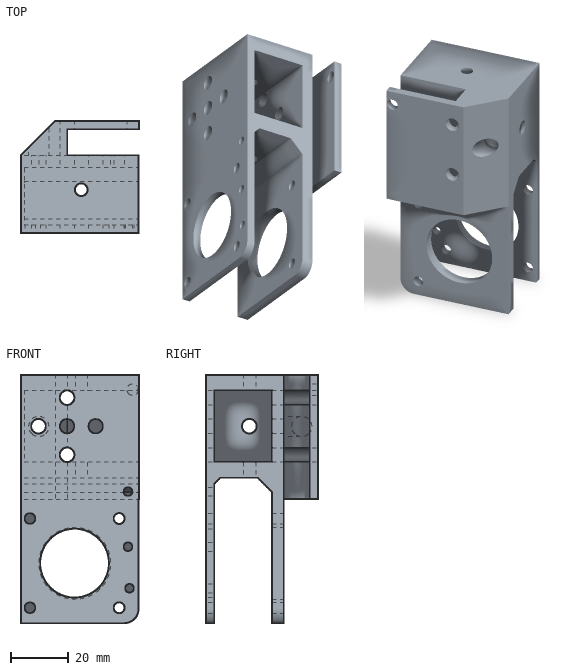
import cadquery as cq

height = 86.6
body_width = 41.05
body_depth = 27.2
front_wall = 2.95
rear_wall = 4.15
side_wall = 1.2
corner_radius = 5.0

slot_top = 50.65
front_slot_chamfer = 2.1
rear_slot_chamfer = 4.9

total_width = 41.2
total_depth = 39.1
bracket_bottom = 43.3
bracket_plate = 2.95
web_width = 16.2
bracket_chamfer = total_depth - body_depth
bracket_hole_diameter = 4.0
bracket_hole_x = total_width - 2.3
bracket_hole_z = height - 5.1

cross_x, cross_z = 16.1, 68.7
cross_pitch = 10.0
cross_diameter = 5.0
access_diameter = 7.0
pocket_height = 2 * cross_pitch + cross_diameter
axis_y = 15.15
top_hole_x = 21.0
top_hole_diameter = 4.3

bore_x, bore_z = 18.7, 20.95
front_bore_diameter = 23.9
rear_bore_diameter = 25.0
mount_spacing = 31.1
mount_offset = mount_spacing / 2
mount_diameter = 3.7

edge_hole_diameter = 3.0
edge_holes = [(37.3, 45.9), (37.3, 26.7), (37.8, 12.2)]


def block(x0, x1, y0, y1, z0, z1):
    return cq.Workplane("XY").box(x1 - x0, y1 - y0, z1 - z0, centered=False).translate((x0, y0, z0))


def hole_along_y(x, z, diameter, y_start, y_end):
    circle = cq.Workplane("XZ", origin=(x, y_start, z)).circle(diameter / 2)
    return circle.extrude(y_start - y_end)


def make_body():
    body = block(0, body_width, 0, body_depth, 0, height)
    return body.edges("|Y and >X and <Z").fillet(corner_radius)


def make_slot():
    rear_face = body_depth - rear_wall
    outline = [
        (front_wall, 0),
        (rear_face, 0),
        (rear_face, slot_top - rear_slot_chamfer),
        (rear_face - rear_slot_chamfer, slot_top),
        (front_wall + front_slot_chamfer, slot_top),
        (front_wall, slot_top - front_slot_chamfer),
    ]
    return cq.Workplane("YZ").polyline(outline).close().extrude(body_width)


def make_bracket():
    outline = [
        (0, body_depth),
        (bracket_chamfer, total_depth),
        (total_width, total_depth),
        (total_width, total_depth - bracket_plate),
        (web_width, total_depth - bracket_plate),
        (web_width, body_depth),
    ]
    bracket = cq.Workplane("XY", origin=(0, 0, bracket_bottom)).polyline(outline).close()
    bracket = bracket.extrude(height - bracket_bottom)
    return bracket.cut(
        hole_along_y(bracket_hole_x, bracket_hole_z, bracket_hole_diameter, body_depth, total_depth)
    )


def make_pocket():
    return block(
        side_wall, body_width,
        front_wall, body_depth - rear_wall,
        cross_z - pocket_height / 2, cross_z + pocket_height / 2,
    )


result = make_body().union(make_bracket()).cut(make_slot()).cut(make_pocket())

left_x = cross_x - cross_pitch
for x, z, y_end in [
    (cross_x, cross_z + cross_pitch, total_depth),
    (cross_x, cross_z - cross_pitch, total_depth),
    (left_x, cross_z, total_depth),
    (cross_x, cross_z, body_depth),
    (cross_x + cross_pitch, cross_z, body_depth),
]:
    result = result.cut(hole_along_y(x, z, cross_diameter, 0, y_end))

result = result.cut(hole_along_y(left_x, cross_z, access_diameter, body_depth, total_depth))

side_hole = cq.Workplane("YZ").center(axis_y, cross_z).circle(cross_diameter / 2).extrude(body_width)
top_hole = cq.Workplane("XY").center(top_hole_x, axis_y).circle(top_hole_diameter / 2).extrude(height)
result = result.cut(side_hole).cut(top_hole)

result = result.cut(hole_along_y(bore_x, bore_z, front_bore_diameter, 0, front_wall))
rear_bore = hole_along_y(bore_x, bore_z, rear_bore_diameter, body_depth - rear_wall, body_depth)
result = result.cut(rear_bore)
for z in (bore_z - mount_offset, bore_z + mount_offset):
    result = result.cut(hole_along_y(bore_x - mount_offset, z, mount_diameter, 0, front_wall))
    result = result.cut(hole_along_y(bore_x + mount_offset, z, mount_diameter, 0, body_depth))

for x, z in edge_holes:
    result = result.cut(hole_along_y(x, z, edge_hole_diameter, 0, front_wall))